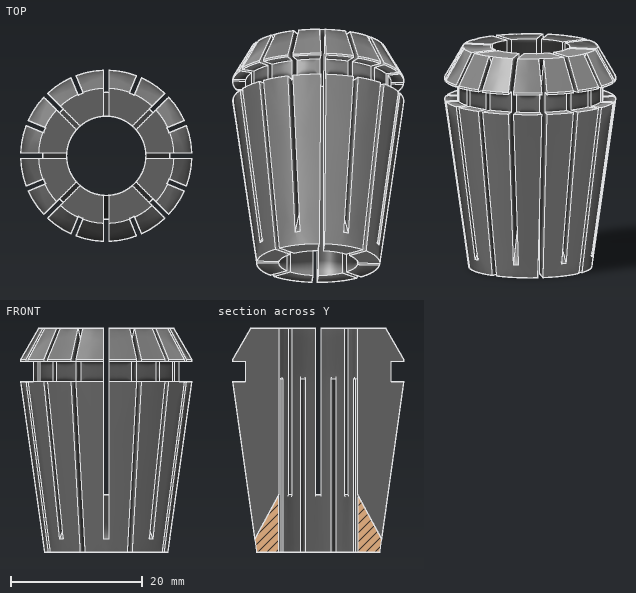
import cadquery as cq
import math

LENGTH = 34.0
MAX_RADIUS = 13.0
BORE_RADIUS = 6.0

BODY_TOP = 25.9
BODY_TAPER_ANGLE = 8.0
GROOVE_RADIUS = 11.05
GROOVE_TOP = 28.95
RIM_HEIGHT = 0.3
NOSE_ANGLE = 30.0

BODY_BOTTOM_RADIUS = MAX_RADIUS - BODY_TOP * math.tan(math.radians(BODY_TAPER_ANGLE))
RIM_TOP = GROOVE_TOP + RIM_HEIGHT
NOSE_RADIUS = MAX_RADIUS - (LENGTH - RIM_TOP) * math.tan(math.radians(NOSE_ANGLE))

SLOTS_PER_SET = 8
SLOT_WIDTH = 0.8
SLOT_PITCH = 360.0 / SLOTS_PER_SET
CLEARANCE = 1.0

NOSE_SLOT_BORE_HEIGHT = 8.75
NOSE_SLOT_OUTER_HEIGHT = 2.0
NOSE_SLOT_OUTER_RADIUS = (
    BODY_BOTTOM_RADIUS + NOSE_SLOT_OUTER_HEIGHT * math.tan(math.radians(BODY_TAPER_ANGLE))
)

NOSE_EDGE_OVERLAP = 0.1
BASE_SLOT_OUTER_RADIUS = NOSE_RADIUS - NOSE_EDGE_OVERLAP
BASE_SLOT_END_SLOPE = (NOSE_SLOT_BORE_HEIGHT - NOSE_SLOT_OUTER_HEIGHT) / (
    NOSE_SLOT_OUTER_RADIUS - BORE_RADIUS
)


def make_collet_blank():
    """Revolve the bored collet: clamping taper, groove, rim and nose cone."""
    profile = [
        (BORE_RADIUS, 0),
        (BODY_BOTTOM_RADIUS, 0),
        (MAX_RADIUS, BODY_TOP),
        (GROOVE_RADIUS, BODY_TOP),
        (GROOVE_RADIUS, GROOVE_TOP),
        (MAX_RADIUS, GROOVE_TOP),
        (MAX_RADIUS, RIM_TOP),
        (NOSE_RADIUS, LENGTH),
        (BORE_RADIUS, LENGTH),
    ]
    return cq.Workplane("XZ").polyline(profile).close().revolve(360, (0, 0), (0, 1))


def make_slot_cutter(inner_height, outer_radius, outer_height, open_height):
    """Thin radial plate along +X with a sloped end, running out at open_height."""
    slope = (outer_height - inner_height) / (outer_radius - BORE_RADIUS)
    inner_radius = BORE_RADIUS - CLEARANCE
    reach = MAX_RADIUS + CLEARANCE
    outline = [
        (inner_radius, open_height),
        (inner_radius, inner_height - slope * CLEARANCE),
        (outer_radius, outer_height),
        (reach, outer_height),
        (reach, open_height),
    ]
    return cq.Workplane("XZ").polyline(outline).close().extrude(SLOT_WIDTH / 2, both=True)


def cut_slots(body, cutter, start_angle):
    """Cut one evenly spaced set of radial slots."""
    for index in range(SLOTS_PER_SET):
        angle = start_angle + index * SLOT_PITCH
        body = body.cut(cutter.rotate((0, 0, 0), (0, 0, 1), angle))
    return body


nose_slot = make_slot_cutter(
    NOSE_SLOT_BORE_HEIGHT,
    NOSE_SLOT_OUTER_RADIUS,
    NOSE_SLOT_OUTER_HEIGHT,
    LENGTH + CLEARANCE,
)
base_slot = make_slot_cutter(
    LENGTH - BASE_SLOT_END_SLOPE * (BASE_SLOT_OUTER_RADIUS - BORE_RADIUS),
    BASE_SLOT_OUTER_RADIUS,
    LENGTH,
    -CLEARANCE,
)

result = make_collet_blank()
result = cut_slots(result, nose_slot, 0)
result = cut_slots(result, base_slot, SLOT_PITCH / 2)